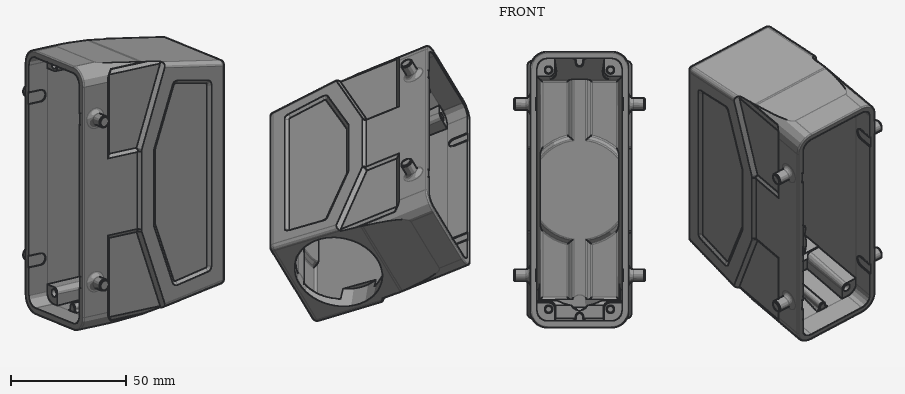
import cadquery as cq
import math


HEIGHT = 120.0
DEPTH = 76.0
RIM_HALF_WIDTH = 21.5
RIM_CORNER_RADIUS = 7.5
RIM_EDGE_FILLET = 0.6
RIM_STRAIGHT_DEPTH = 11.4
BREAK_Y = 32.4
BREAK_HALF_HEIGHT = 57.6
BREAK_BEVEL = 0.5
BACK_HALF_HEIGHT = 50.6
HALF_HEIGHT = HEIGHT / 2

GRIP_HALF_WIDTH = 22.7
GRIP_EDGE_FILLET = 2.2
GRIP_FRONT_Y = 30.6
GRIP_FRONT_HALF_HEIGHT = 18.7
GRIP_SHOULDER_Y = 43.7
GRIP_SHOULDER_HALF_HEIGHT = 55.8
GRIP_WALL_TAPER = 32.0
GRIP_WALL_DEPTH = 9.0
GRIP_BEVEL_FOOT_Y = 29.0
GRIP_BEVEL_HALF_HEIGHT = 17.8
CORE_END_Y = 66.0

PANEL_DEPTH = 1.2
PANEL_WALL_TAPER = 53.0
PANEL_CORNER_RADIUS = 2.4
PANEL_BACK_Y = 68.2
PANEL_BACK_HALF_HEIGHT = 43.2
PANEL_SHOULDER_Y = 47.9
PANEL_SHOULDER_HALF_HEIGHT = 46.9
PANEL_FRONT_Y = 37.1
PANEL_FRONT_HALF_HEIGHT = 17.3

POCKET_FLOOR_X = 20.5
POCKET_EDGE_X = 19.7
POCKET_LEAN_START_Z = 55.2
POCKET_LEAN_END_Z = 57.1
POCKET_FRONT_Y = 13.1
POCKET_INNER_Z = 17.5
POCKET_WALL_TAPER = 60.0

WALL = 3.0
LEDGE_Y = 9.7
DRAFT = 1.3
CAVITY_BACK_Y = 73.2
CAVITY_BACK_HALF_HEIGHT = 47.6
FLOOR_FILLET = 1.1
MOUTH_HALF_WIDTH = RIM_HALF_WIDTH - WALL
MOUTH_HALF_HEIGHT = HALF_HEIGHT - WALL
MOUTH_CORNER_RADIUS = RIM_CORNER_RADIUS - WALL

ENTRY_DIAMETER = 38.5
ENTRY_Y = 53.3
ENTRY_REACH = 12.0
BLOCK_FRONT_Y = 33.5
BLOCK_FOOT_Z = -55.9
BLOCK_BEVEL_Z = -50.3
BLOCK_TOP_Z = -48.4
BLOCK_BEVEL_DEPTH = 1.8

WEB_HEIGHT = 1.8
WEB_DISC_RADIUS = 22.0
WEB_STRIP_HALF_WIDTH = 3.0
WEB_FLARE = 2.0

PILLAR_INNER_X = 10.8
PILLAR_INNER_Z = 49.2
PILLAR_CORNER_RADIUS = 2.4
SCREW_X = 13.5
SCREW_Z = 52.0
SCREW_DIAMETER = 2.8
SCREW_MOUTH_DIAMETER = 3.5
SCREW_DEPTH = 18.0
RIB_DIAMETER = 3.5
RIB_Z = 55.1
RIB_CHAMFER = 0.4
RIB_FOOT_FLARE = 1.5

PIN_TIP_X = 28.5
PIN_Y = 6.4
PIN_Z = 37.2
PIN_RADIUS = 2.6
PIN_CHAMFER = 0.5
PIN_FOOT_RADIUS = 1.9
PIN_GROOVE_DEPTH = 0.5


def both_sides(solid):
    return solid.union(solid.mirror("YZ"))


def all_corners(solid):
    pair = both_sides(solid)
    return pair.union(pair.mirror("XY"))


def side_prism(points, half_width):
    """Extrude an outline of (Y, Z) points symmetrically along X."""
    return cq.Workplane("YZ").polyline(points).close().extrude(half_width, both=True)


def mirrored_outline(upper):
    """Close a list of upper (Y, Z) points with its reflection about Z = 0."""
    return upper + [(y, -z) for y, z in reversed(upper)]


def rounded_bar(half_width, half_height, radius, start_y, end_y, taper=0.0):
    """Bar along +Y with rounded corners, narrowing by the taper angle."""
    plane = cq.Plane(origin=(0, start_y, 0), xDir=(-1, 0, 0), normal=(0, 1, 0))
    outline = cq.Sketch().rect(2 * half_width, 2 * half_height).vertices().fillet(radius)
    return cq.Workplane(plane).placeSketch(outline).extrude(end_y - start_y, taper=taper)


def make_front_body():
    bar = rounded_bar(RIM_HALF_WIDTH, HALF_HEIGHT, RIM_CORNER_RADIUS, 0, CORE_END_Y)
    bar = bar.faces("<Y").edges().fillet(RIM_EDGE_FILLET)
    return bar.intersect(side_prism(shell_outline, GRIP_HALF_WIDTH))


def make_pocket():
    far_y = CORE_END_Y + WALL
    far_z = HALF_HEIGHT + 2 * WALL
    prism = (
        cq.Workplane("YZ", origin=(RIM_HALF_WIDTH, 0, 0))
        .moveTo(POCKET_FRONT_Y, POCKET_INNER_Z)
        .lineTo(far_y, POCKET_INNER_Z)
        .lineTo(far_y, far_z)
        .lineTo(POCKET_FRONT_Y, far_z)
        .close()
        .extrude(POCKET_EDGE_X - RIM_HALF_WIDTH, taper=POCKET_WALL_TAPER)
    )
    above_floor = (
        cq.Workplane("XZ")
        .moveTo(POCKET_FLOOR_X, 0)
        .lineTo(POCKET_FLOOR_X, POCKET_LEAN_START_Z)
        .lineTo(POCKET_EDGE_X, POCKET_LEAN_END_Z)
        .lineTo(POCKET_EDGE_X, far_z)
        .lineTo(GRIP_HALF_WIDTH, far_z)
        .lineTo(GRIP_HALF_WIDTH, 0)
        .close()
        .extrude(-far_y)
    )
    return prism.intersect(above_floor)


def make_grip():
    """Full-width block, trimmed to the grip outline with sloping front walls."""
    slope_outline = mirrored_outline([
        (0, end_wall_z(0)),
        (DEPTH, BACK_HALF_HEIGHT),
    ])
    block = side_prism(slope_outline, GRIP_HALF_WIDTH)
    block = block.faces("not <Y").edges("not <Y").fillet(GRIP_EDGE_FILLET)
    beyond_y = DEPTH + WALL
    beyond_z = HALF_HEIGHT + WALL
    run = (GRIP_SHOULDER_Y - GRIP_FRONT_Y) / (GRIP_SHOULDER_HALF_HEIGHT - GRIP_FRONT_HALF_HEIGHT)
    tip_y = GRIP_FRONT_Y + run * (beyond_z - GRIP_FRONT_HALF_HEIGHT)
    outline = mirrored_outline([
        (GRIP_FRONT_Y, GRIP_FRONT_HALF_HEIGHT),
        (tip_y, beyond_z),
        (beyond_y, beyond_z),
    ])
    cheek = (
        cq.Workplane("YZ", origin=(GRIP_HALF_WIDTH, 0, 0))
        .polyline(outline)
        .close()
        .extrude(-GRIP_WALL_DEPTH, taper=-GRIP_WALL_TAPER)
    )
    middle = side_prism(
        mirrored_outline([(GRIP_SHOULDER_Y, beyond_z), (beyond_y, beyond_z)]),
        GRIP_HALF_WIDTH - GRIP_WALL_DEPTH,
    )
    bevel = (
        cq.Workplane("XY", origin=(0, 0, -GRIP_BEVEL_HALF_HEIGHT))
        .moveTo(GRIP_HALF_WIDTH, GRIP_FRONT_Y)
        .lineTo(RIM_HALF_WIDTH, GRIP_BEVEL_FOOT_Y)
        .lineTo(RIM_HALF_WIDTH, BREAK_Y)
        .lineTo(GRIP_HALF_WIDTH, BREAK_Y)
        .close()
        .extrude(2 * GRIP_BEVEL_HALF_HEIGHT)
    )
    return block.intersect(both_sides(cheek).union(middle)).union(both_sides(bevel))


def make_panel():
    outline = mirrored_outline([
        (PANEL_FRONT_Y, PANEL_FRONT_HALF_HEIGHT),
        (PANEL_SHOULDER_Y, PANEL_SHOULDER_HALF_HEIGHT),
        (PANEL_BACK_Y, PANEL_BACK_HALF_HEIGHT),
    ])
    shoulders_and_back = cq.selectors.BoxSelector(
        (PANEL_FRONT_Y + 1.2, -HALF_HEIGHT, -1.2), (DEPTH, HALF_HEIGHT, 1.2)
    )
    face = cq.Sketch().polygon(outline + outline[:1])
    face = face.vertices(shoulders_and_back).fillet(PANEL_CORNER_RADIUS)
    return (
        cq.Workplane("YZ", origin=(GRIP_HALF_WIDTH, 0, 0))
        .placeSketch(face)
        .extrude(-PANEL_DEPTH, taper=PANEL_WALL_TAPER)
    )


def end_wall_z(y):
    """Half height of the sloping end wall, extended as a straight line."""
    return BACK_HALF_HEIGHT + (DEPTH - y) * math.tan(end_slope)


def make_web():
    top_y = CAVITY_BACK_Y - WEB_HEIGHT
    disc = cq.Workplane(cq.Solid.makeCone(
        WEB_DISC_RADIUS, WEB_DISC_RADIUS + WEB_FLARE, WEB_HEIGHT,
        pnt=cq.Vector(0, top_y, 0), dir=cq.Vector(0, 1, 0),
    ))
    foot = WEB_STRIP_HALF_WIDTH + WEB_FLARE
    strip = (
        cq.Workplane("XY")
        .polyline([
            (-WEB_STRIP_HALF_WIDTH, top_y),
            (WEB_STRIP_HALF_WIDTH, top_y),
            (foot, CAVITY_BACK_Y),
            (-foot, CAVITY_BACK_Y),
        ])
        .close()
        .extrude(HALF_HEIGHT, both=True)
    )
    return disc.union(strip).faces("<Y").edges("not(|X)").fillet(FLOOR_FILLET)


def make_pillar():
    """Drafted corner post, overlapping the wall on its two outer sides."""
    plane = cq.Plane(origin=(0, LEDGE_Y, 0), xDir=(1, 0, 0), normal=(0, -1, 0))
    outline = cq.Sketch().rect(
        2 * (RIM_HALF_WIDTH - PILLAR_INNER_X), 2 * (HALF_HEIGHT - PILLAR_INNER_Z)
    )
    outline = outline.vertices().fillet(PILLAR_CORNER_RADIUS)
    post = cq.Workplane(plane).placeSketch(outline).extrude(LEDGE_Y - DEPTH, taper=-DRAFT)
    return post.translate((RIM_HALF_WIDTH, 0, HALF_HEIGHT))


def make_rib():
    radius = RIB_DIAMETER / 2
    foot = radius + RIB_FOOT_FLARE
    bend = RIB_FOOT_FLARE * (1 - math.sqrt(0.5))
    foot_z = MOUTH_HALF_HEIGHT - RIB_Z
    waist_z = foot_z - RIB_FOOT_FLARE
    rib = (
        cq.Workplane("XZ", origin=(0, LEDGE_Y, RIB_Z))
        .moveTo(-radius, waist_z)
        .lineTo(-radius, 0)
        .threePointArc((0, -radius), (radius, 0))
        .lineTo(radius, waist_z)
        .threePointArc((radius + bend, foot_z - bend), (foot, foot_z))
        .lineTo(foot, HALF_HEIGHT - RIB_Z)
        .lineTo(-foot, HALF_HEIGHT - RIB_Z)
        .lineTo(-foot, foot_z)
        .threePointArc((-radius - bend, foot_z - bend), (-radius, waist_z))
        .close()
        .extrude(LEDGE_Y - DEPTH)
    )
    return rib.faces("<Y").edges().chamfer(RIB_CHAMFER)


def make_cavity():
    mouth = rounded_bar(MOUTH_HALF_WIDTH, MOUTH_HALF_HEIGHT, MOUTH_CORNER_RADIUS, 0, LEDGE_Y)
    well = rounded_bar(
        MOUTH_HALF_WIDTH, MOUTH_HALF_HEIGHT, MOUTH_CORNER_RADIUS, LEDGE_Y, CAVITY_BACK_Y, DRAFT
    )
    well = well.intersect(side_prism(
        [
            (LEDGE_Y, MOUTH_HALF_HEIGHT),
            (CAVITY_BACK_Y, CAVITY_BACK_HALF_HEIGHT),
            (CAVITY_BACK_Y, -CAVITY_BACK_HALF_HEIGHT),
            (BLOCK_FRONT_Y + BLOCK_BEVEL_DEPTH, BLOCK_TOP_Z),
            (BLOCK_FRONT_Y, BLOCK_BEVEL_Z),
            (BLOCK_FRONT_Y, BLOCK_FOOT_Z),
            (LEDGE_Y, -MOUTH_HALF_HEIGHT),
        ],
        RIM_HALF_WIDTH,
    ))
    rib = make_rib()
    well = well.cut(make_web()).faces(">Y").edges().fillet(FLOOR_FILLET)
    well = well.cut(all_corners(make_pillar()))
    well = well.cut(rib).cut(rib.mirror("XY"))
    return mouth.union(well)


def make_cable_entry():
    """Bore square to the sloping bottom wall."""
    inward = cq.Vector(0, -math.sin(end_slope), math.cos(end_slope))
    centre = cq.Vector(0, ENTRY_Y, -end_wall_z(ENTRY_Y))
    return cq.Workplane(cq.Solid.makeCylinder(
        ENTRY_DIAMETER / 2, 2 * ENTRY_REACH, centre - inward * ENTRY_REACH, inward
    ))


def make_screw_hole():
    bore = SCREW_DIAMETER / 2
    mouth = SCREW_MOUTH_DIAMETER / 2
    return (
        cq.Workplane("XY")
        .polyline([(0, 0), (mouth, 0), (bore, SCREW_DEPTH), (0, SCREW_DEPTH)])
        .close()
        .revolve(360, (0, 0, 0), (0, 1, 0))
        .translate((SCREW_X, LEDGE_Y, SCREW_Z))
    )


def make_pin():
    """Pin along +X that flares into the side wall."""
    bend = PIN_FOOT_RADIUS * (1 - math.sqrt(0.5))
    root_x = MOUTH_HALF_WIDTH + PIN_GROOVE_DEPTH
    return (
        cq.Workplane("XY")
        .moveTo(root_x, 0)
        .lineTo(root_x, PIN_RADIUS)
        .lineTo(RIM_HALF_WIDTH, PIN_RADIUS + PIN_FOOT_RADIUS)
        .threePointArc(
            (RIM_HALF_WIDTH + bend, PIN_RADIUS + bend),
            (RIM_HALF_WIDTH + PIN_FOOT_RADIUS, PIN_RADIUS),
        )
        .lineTo(PIN_TIP_X - PIN_CHAMFER, PIN_RADIUS)
        .lineTo(PIN_TIP_X, PIN_RADIUS - PIN_CHAMFER)
        .lineTo(PIN_TIP_X, 0)
        .close()
        .revolve(360, (0, 0, 0), (1, 0, 0))
        .translate((0, PIN_Y, PIN_Z))
    )


def make_pin_groove():
    """Shallow round-ended groove from the rim to behind the pin."""
    groove = cq.Workplane("YZ", origin=(MOUTH_HALF_WIDTH - WALL, 0, PIN_Z))
    return (
        groove.moveTo(0, -PIN_RADIUS)
        .lineTo(PIN_Y, -PIN_RADIUS)
        .threePointArc((PIN_Y + PIN_RADIUS, 0), (PIN_Y, PIN_RADIUS))
        .lineTo(0, PIN_RADIUS)
        .close()
        .extrude(WALL + PIN_GROOVE_DEPTH)
    )


end_slope = math.atan((BREAK_HALF_HEIGHT - BACK_HALF_HEIGHT) / (DEPTH - BREAK_Y))
front_slope = math.atan((HALF_HEIGHT - BREAK_HALF_HEIGHT) / (BREAK_Y - RIM_STRAIGHT_DEPTH))
shell_outline = mirrored_outline([
    (0, HALF_HEIGHT),
    (RIM_STRAIGHT_DEPTH, HALF_HEIGHT),
    (BREAK_Y - BREAK_BEVEL, BREAK_HALF_HEIGHT + BREAK_BEVEL * math.tan(front_slope)),
    (BREAK_Y + BREAK_BEVEL, end_wall_z(BREAK_Y + BREAK_BEVEL)),
    (DEPTH, BACK_HALF_HEIGHT),
])

shell = make_front_body().cut(all_corners(make_pocket()))
shell = shell.union(make_grip()).cut(both_sides(make_panel()))
shell = shell.cut(make_cavity()).cut(make_cable_entry())
shell = shell.cut(all_corners(make_screw_hole())).cut(all_corners(make_pin_groove()))
result = shell.union(all_corners(make_pin()))